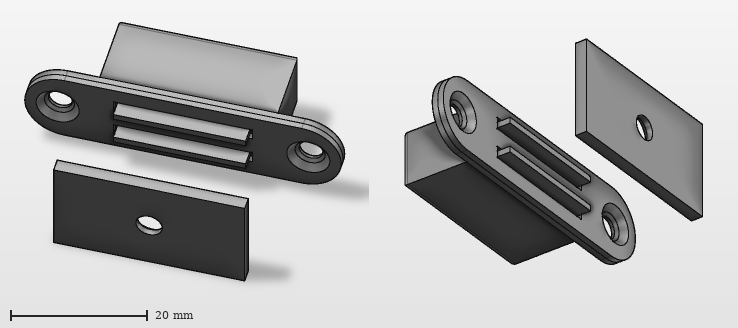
import cadquery as cq

flange_length = 48.0
flange_height = 12.0
layer_thickness = 1.0
flange_thickness = 2 * layer_thickness

screw_offset = 19.0
screw_diameter = 3.6
countersink_diameter = 6.53
countersink_depth = 1.5

box_length = 27.0
box_height = 9.0
box_depth = 13.0
box_back_radius = 1.0

pole_length = 20.05
pole_thickness = 1.0
pole_projection = 1.95
pole_offset = 2.5
slot_clearance = 0.5
slot_length = pole_length + 2 * slot_clearance
slot_height = pole_thickness + 2 * slot_clearance

strike_length = 29.0
strike_height = 16.0
strike_thickness = 2.0
strike_hole_diameter = 4.0
strike_countersink_diameter = 6.0
strike_countersink_angle = 90.0
strike_gap = 15.0


def block(length, height, y_front, y_back, z=0.0):
    """Box centred on X and on height z, between two Y positions."""
    depth = y_back - y_front
    return cq.Workplane("XY").box(length, depth, height).translate((0, y_front + depth / 2, z))


def flange_layer(y_front):
    """Round-ended plate one layer thick."""
    return (
        cq.Workplane("XZ", origin=(0, y_front, 0))
        .slot2D(flange_length, flange_height)
        .extrude(-layer_thickness)
    )


def screw_cutters():
    """Through hole and countersink for both screws, opening at Y = 0."""
    cutters = cq.Workplane("XZ")
    for x in (-screw_offset, screw_offset):
        start = cq.Workplane("XZ", origin=(x, 0, 0))
        hole = start.circle(screw_diameter / 2).extrude(-flange_thickness)
        cone = cq.Solid.makeCone(
            countersink_diameter / 2,
            screw_diameter / 2,
            countersink_depth,
            pnt=cq.Vector(x, 0, 0),
            dir=cq.Vector(0, 1, 0),
        )
        cutters = cutters.add(hole.union(cone))
    return cutters.combine()


def make_housing():
    box = block(box_length, box_height, flange_thickness, flange_thickness + box_depth)
    box = box.faces(">Y").edges().fillet(box_back_radius)
    return flange_layer(layer_thickness).union(box).cut(screw_cutters())


def make_cover():
    cover = flange_layer(0).cut(screw_cutters())
    for z in (-pole_offset, pole_offset):
        cover = cover.cut(block(slot_length, slot_height, 0, layer_thickness, z))
    return cover


def make_pole(z):
    return block(pole_length, pole_thickness, -pole_projection, layer_thickness, z)


def make_strike():
    y_back = -pole_projection - strike_gap
    plate = block(strike_length, strike_height, y_back - strike_thickness, y_back)
    return (
        plate.faces(">Y")
        .workplane(origin=(0, 0, 0))
        .cskHole(strike_hole_diameter, strike_countersink_diameter, strike_countersink_angle)
    )


housing = make_housing()
cover = make_cover()
poles = [make_pole(z) for z in (-pole_offset, pole_offset)]
strike = make_strike()

result = cq.Compound.makeCompound(
    [housing.val(), cover.val(), *[pole.val() for pole in poles], strike.val()]
)